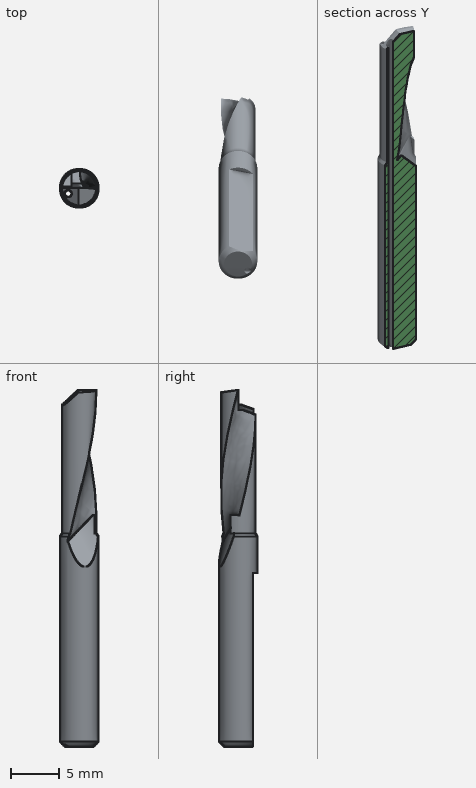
import cadquery as cq
import math

TOTAL_LENGTH = 37.0
SHANK_RADIUS = 2.0
HEAD_RADIUS = 1.79
SHOULDER_TOP_Z = 22.12
SHOULDER_HEIGHT = 0.3
BOTTOM_CHAMFER = 0.55

OVERSIZE = 10.0

FLAT_Y = 1.55
FLAT_TOP_Z = 18.0

COOLANT_DIAMETER = 0.7
COOLANT_X = -1.15
COOLANT_Y = -0.55

FLUTE_TURN_PER_MM = 8.1
RAKE_Y = 0.05
FLUTE_CORNER_X = 0.36
FLUTE_VALLEY_OFFSET = 0.18
FLUTE_FLOOR_DIRECTION = 117.0

RUNOUT_AZIMUTH = -72.5
RUNOUT_SLOPE = 17.0
RUNOUT_START_Z = 18.65

BORDER_PEAK_X = 1.4
BORDER_PEAK_Z = 24.0
BORDER_RISE_ANGLE = 46.0
RUNOUT_SIDE_X = 1.6

RELIEF_ANGLE = 8.0
GASH_TOP_X = -0.1
GASH_ANGLE = 43.0
HEEL_TOP_Z = 35.5
HEEL_SLOPE = 20.0
HEEL_LEDGE_Y = 0.2
HEEL_POCKET_X = -0.82
HEEL_POCKET_LEDGE_Y = 0.5
HEEL_POCKET_DEPTH = 0.6


def fall(run, angle):
    """Height lost over a horizontal run at a slope angle in degrees."""
    return run * math.tan(math.radians(angle))


def make_body():
    """Shank, conical shoulder and slimmer head as one turned profile."""
    return (
        cq.Workplane("XZ")
        .moveTo(0, 0)
        .lineTo(SHANK_RADIUS - BOTTOM_CHAMFER, 0)
        .lineTo(SHANK_RADIUS, BOTTOM_CHAMFER)
        .lineTo(SHANK_RADIUS, SHOULDER_TOP_Z - SHOULDER_HEIGHT)
        .lineTo(HEAD_RADIUS, SHOULDER_TOP_Z)
        .lineTo(HEAD_RADIUS, TOTAL_LENGTH)
        .lineTo(0, TOTAL_LENGTH)
        .close()
        .revolve(360, (0, 0, 0), (0, 1, 0))
    )


def make_clamping_flat():
    """Block that removes the shank beyond FLAT_Y up to FLAT_TOP_Z."""
    return (
        cq.Workplane("XY")
        .box(OVERSIZE, OVERSIZE, FLAT_TOP_Z, centered=(True, False, False))
        .translate((0, FLAT_Y, 0))
    )


def make_coolant_hole():
    """Straight hole through the full length."""
    return (
        cq.Workplane("XY")
        .center(COOLANT_X, COOLANT_Y)
        .circle(COOLANT_DIAMETER / 2)
        .extrude(TOTAL_LENGTH)
    )


def border_z(x):
    """Height of the slanted flute border at a given X."""
    return BORDER_PEAK_Z - fall(BORDER_PEAK_X - x, BORDER_RISE_ANGLE)


def make_below_border():
    """Space below the slanted border, level from the peak toward +X."""
    return (
        cq.Workplane("XZ")
        .moveTo(-OVERSIZE, 0)
        .lineTo(-OVERSIZE, border_z(-OVERSIZE))
        .lineTo(BORDER_PEAK_X, BORDER_PEAK_Z)
        .lineTo(OVERSIZE, BORDER_PEAK_Z)
        .lineTo(OVERSIZE, 0)
        .close()
        .extrude(OVERSIZE, both=True)
    )


def make_flute():
    """Twisted prism whose rake and floor form one smooth curve around the rounded corner."""
    bottom_z = border_z(-SHANK_RADIUS)
    height = TOTAL_LENGTH - bottom_z
    turn = FLUTE_TURN_PER_MM * height
    reach = 2 * SHANK_RADIUS
    floor_lean = fall(reach, FLUTE_FLOOR_DIRECTION - 90)
    floor_end = (FLUTE_CORNER_X - floor_lean, RAKE_Y + reach)
    floor_angle = math.radians(FLUTE_FLOOR_DIRECTION)
    valley = (FLUTE_CORNER_X + FLUTE_VALLEY_OFFSET, RAKE_Y + FLUTE_VALLEY_OFFSET)
    prism = (
        cq.Workplane("XY")
        .moveTo(reach, RAKE_Y)
        .spline(
            [valley, floor_end],
            tangents=[(-1, 0), (math.cos(floor_angle), math.sin(floor_angle))],
            includeCurrent=True,
        )
        .lineTo(reach, floor_end[1])
        .close()
        .twistExtrude(height, turn)
    )
    turned_back = prism.rotate((0, 0, 0), (0, 0, 1), -turn)
    return turned_back.translate((0, 0, bottom_z)).cut(make_below_border())


def make_runout():
    """Space outside a plane leaning inward from the shank surface, up to the border."""
    outside = (
        cq.Workplane("XY")
        .box(OVERSIZE, OVERSIZE, 2 * OVERSIZE, centered=(False, True, True))
        .rotate((0, 0, 0), (0, 1, 0), -RUNOUT_SLOPE)
        .translate((SHANK_RADIUS, 0, RUNOUT_START_Z))
        .rotate((0, 0, 0), (0, 0, 1), RUNOUT_AZIMUTH)
    )
    kept_side = (
        cq.Workplane("XY")
        .box(OVERSIZE, 2 * OVERSIZE, OVERSIZE, centered=(False, True, False))
        .translate((RUNOUT_SIDE_X, 0, SHOULDER_TOP_Z))
    )
    return outside.intersect(make_below_border()).cut(kept_side)


def make_relief():
    """Clearance of the end face, falling behind the cutting edge toward -Y."""
    far_y = RAKE_Y - OVERSIZE
    return (
        cq.Workplane("YZ")
        .moveTo(RAKE_Y, TOTAL_LENGTH)
        .lineTo(far_y, TOTAL_LENGTH - fall(OVERSIZE, RELIEF_ANGLE))
        .lineTo(far_y, TOTAL_LENGTH)
        .close()
        .extrude(OVERSIZE, both=True)
    )


def make_gash():
    """Steep slope falling toward -X and tilted with the relief of the end face."""
    far_x = GASH_TOP_X - OVERSIZE
    return (
        cq.Workplane("XZ")
        .moveTo(GASH_TOP_X, 0)
        .lineTo(far_x, -fall(OVERSIZE, GASH_ANGLE))
        .lineTo(far_x, OVERSIZE)
        .lineTo(GASH_TOP_X, OVERSIZE)
        .close()
        .extrude(OVERSIZE, both=True)
        .rotate((0, 0, 0), (1, 0, 0), RELIEF_ANGLE)
        .translate((0, RAKE_Y, TOTAL_LENGTH))
    )


def make_heel_cut(start_x, ledge_y, ledge_z):
    """Cut behind the rake plane: a level ledge, then a floor falling toward +Y."""
    far_y = ledge_y + OVERSIZE
    return (
        cq.Workplane("YZ", origin=(start_x, 0, 0))
        .moveTo(RAKE_Y, TOTAL_LENGTH)
        .lineTo(RAKE_Y, ledge_z)
        .lineTo(ledge_y, ledge_z)
        .lineTo(far_y, ledge_z - fall(OVERSIZE, HEEL_SLOPE))
        .lineTo(far_y, TOTAL_LENGTH)
        .close()
        .extrude(OVERSIZE)
    )


cutters = [
    make_clamping_flat(),
    make_coolant_hole(),
    make_flute(),
    make_runout(),
    make_relief(),
    make_gash(),
    make_heel_cut(-SHANK_RADIUS, HEEL_LEDGE_Y, HEEL_TOP_Z),
    make_heel_cut(HEEL_POCKET_X, HEEL_POCKET_LEDGE_Y, HEEL_TOP_Z - HEEL_POCKET_DEPTH),
]

result = make_body()
for cutter in cutters:
    result = result.cut(cutter)